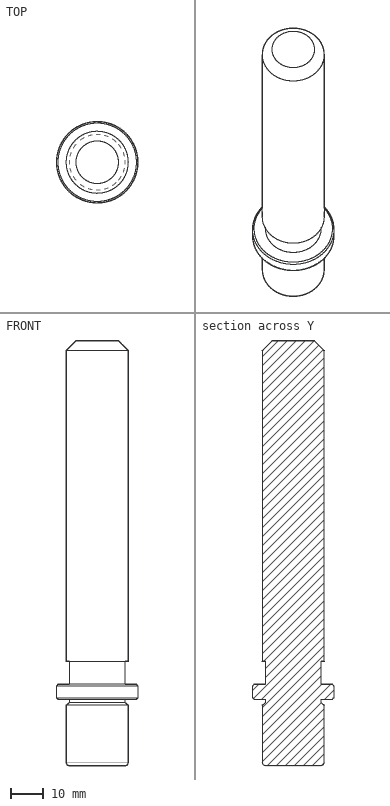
import cadquery as cq

total_length = 130.0
pin_diameter = 19.0
neck_diameter = 17.0
collar_diameter = 25.0

shank_top = 18.6
collar_bottom = 20.3
collar_top = 25.0
pin_bottom = 32.0

tip_diameter = 13.0
tip_height = 3.0
shank_rim_radius = 1.0
shank_chamfer_height = 0.8
collar_chamfer = 0.5


def cylinder(diameter, bottom, top):
    """Solid cylinder on the Z axis between two heights."""
    return cq.Workplane("XY").workplane(offset=bottom).circle(diameter / 2).extrude(top - bottom)


def cone(bottom_diameter, top_diameter, bottom, top):
    """Truncated cone on the Z axis between two heights."""
    profile = [
        (0, bottom),
        (bottom_diameter / 2, bottom),
        (top_diameter / 2, top),
        (0, top),
    ]
    return cq.Workplane("XZ").polyline(profile).close().revolve(360, (0, 0), (0, 1))


shank = cylinder(pin_diameter, 0, shank_top).faces("<Z").edges().fillet(shank_rim_radius)
shank_chamfer = cone(pin_diameter, neck_diameter, shank_top, shank_top + shank_chamfer_height)

neck = cylinder(neck_diameter, shank_top, pin_bottom)

collar = cylinder(collar_diameter, collar_bottom, collar_top).edges().chamfer(collar_chamfer)

tip_bottom = total_length - tip_height
pin = cylinder(pin_diameter, pin_bottom, tip_bottom)
tip = cone(pin_diameter, tip_diameter, tip_bottom, total_length)

result = shank.union(shank_chamfer).union(neck).union(collar).union(pin).union(tip)